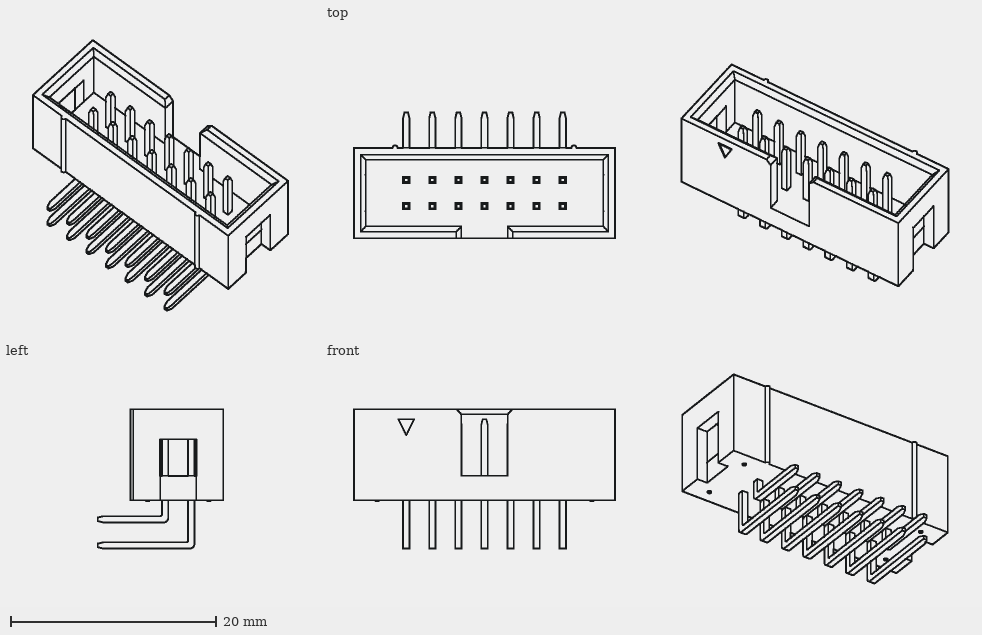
import cadquery as cq

length = 25.43
depth = 8.8
height = 8.89
wall = 1.15
floor_thickness = 2.385
lead_in_width = 0.5
lead_in_height = 0.5

notch_width = 4.5

window_width = 3.54
window_top = 5.95

mark_width = 1.52
mark_height = 1.55
mark_rim_gap = 1.0
mark_top = height - mark_rim_gap
mark_depth = 0.1

rib_radius = 0.25
rib_spacing = 17.42
nub_base_radius = 0.2
nub_tip_radius = 0.12
nub_height = 0.1
nub_spacing_x = 20.92
nub_spacing_y = 5.96

columns = 7
pitch = 2.54
pin_width = 0.64
pin_tip_width = 0.36
pin_tip_length = 0.57
pin_top = 7.9
tail_end = 12.25
tail_bottom = -4.71
bend_outer_radius = 0.5
bend_inner_radius = 0.16

column_xs = [(i - (columns - 1) / 2) * pitch for i in range(columns)]
front_row_y = depth / 2 - pitch / 2
front_tail_z = tail_bottom + pin_width / 2


def make_box(size_x, y_start, y_end, z_start, z_end, x_center=0):
    """Box given by its X size and centre and its Y and Z limits."""
    size_y = y_end - y_start
    size_z = z_end - z_start
    box = cq.Workplane("XY").box(size_x, size_y, size_z, centered=(True, False, False))
    return box.translate((x_center, y_start, z_start))


def make_lead_in(size_x, size_y, y_center):
    """Tapered cutter that flares an opening of the given size up to the rim."""
    return (
        cq.Workplane("XY", origin=(0, y_center, height - lead_in_height))
        .rect(size_x, size_y)
        .workplane(offset=lead_in_height)
        .rect(size_x + 2 * lead_in_width, size_y + 2 * lead_in_width)
        .loft(ruled=True)
    )


def make_cavity():
    """Open-topped mating cavity with a chamfered mouth."""
    cavity_length = length - 2 * wall
    cavity = make_box(cavity_length, wall, depth - wall, floor_thickness, height)
    return cavity.union(make_lead_in(cavity_length, depth - 2 * wall, depth / 2))


def make_notch():
    """Slot through the front wall, flared sideways at the top."""
    notch_back = 2 * wall
    notch = make_box(notch_width, 0, notch_back, floor_thickness, height)
    return notch.union(make_lead_in(notch_width, 2 * wall, 0))


def make_window(side):
    """Recess through one end wall, open at the underside."""
    x_center = side * (length - wall) / 2
    y_start = (depth - window_width) / 2
    return make_box(wall, y_start, y_start + window_width, 0, window_top, x_center)


def make_mark():
    """Downward-pointing triangle over the first column."""
    mark_x = column_xs[0]
    return (
        cq.Workplane("XZ")
        .polyline([
            (mark_x - mark_width / 2, mark_top),
            (mark_x + mark_width / 2, mark_top),
            (mark_x, mark_top - mark_height),
        ])
        .close()
        .extrude(-mark_depth)
    )


def make_ribs():
    """Half-round ribs running the full height of the back wall."""
    return (
        cq.Workplane("XY")
        .pushPoints([(-rib_spacing / 2, depth), (rib_spacing / 2, depth)])
        .circle(rib_radius)
        .extrude(height)
    )


def make_nub(x, y):
    """Small tapered standoff under the housing."""
    return (
        cq.Workplane("XY", origin=(x, y, 0))
        .circle(nub_base_radius)
        .workplane(offset=-nub_height)
        .circle(nub_tip_radius)
        .loft(ruled=True)
    )


def make_housing():
    housing = make_box(length, 0, depth, 0, height).union(make_ribs())
    housing = housing.cut(make_cavity()).cut(make_notch()).cut(make_mark())
    for side in (-1, 1):
        housing = housing.cut(make_window(side))
        for y_side in (-1, 1):
            nub_y = depth / 2 + y_side * nub_spacing_y / 2
            housing = housing.union(make_nub(side * nub_spacing_x / 2, nub_y))
    return housing


def make_tip(plane):
    """Tapered pin end growing along the normal of the given plane."""
    return (
        cq.Workplane(plane)
        .rect(pin_width, pin_width)
        .workplane(offset=pin_tip_length)
        .rect(pin_tip_width, pin_tip_width)
        .loft(ruled=True)
    )


def make_pin(x, row):
    """Pin with an upright contact and a tail bent towards +Y."""
    y = front_row_y + row * pitch
    tail_z = front_tail_z + row * pitch
    half = pin_width / 2
    contact_shoulder = pin_top - pin_tip_length
    tail_shoulder = tail_end - pin_tip_length

    upright = make_box(pin_width, y - half, y + half, tail_z - half, contact_shoulder, x)
    tail = make_box(pin_width, y - half, tail_shoulder, tail_z - half, tail_z + half, x)
    inner_corner = cq.selectors.NearestToPointSelector((x, y + half, tail_z + half))
    outer_corner = cq.selectors.NearestToPointSelector((x, y - half, tail_z - half))
    bent = upright.union(tail)
    bent = bent.edges("|X").edges(inner_corner).fillet(bend_inner_radius)
    bent = bent.edges("|X").edges(outer_corner).fillet(bend_outer_radius)

    contact_tip = make_tip(cq.Plane((x, y, contact_shoulder), xDir=(1, 0, 0), normal=(0, 0, 1)))
    tail_tip = make_tip(cq.Plane((x, tail_shoulder, tail_z), xDir=(1, 0, 0), normal=(0, 1, 0)))
    return bent.union(contact_tip).union(tail_tip)


result = make_housing()
for column_x in column_xs:
    for row in (0, 1):
        result = result.union(make_pin(column_x, row))